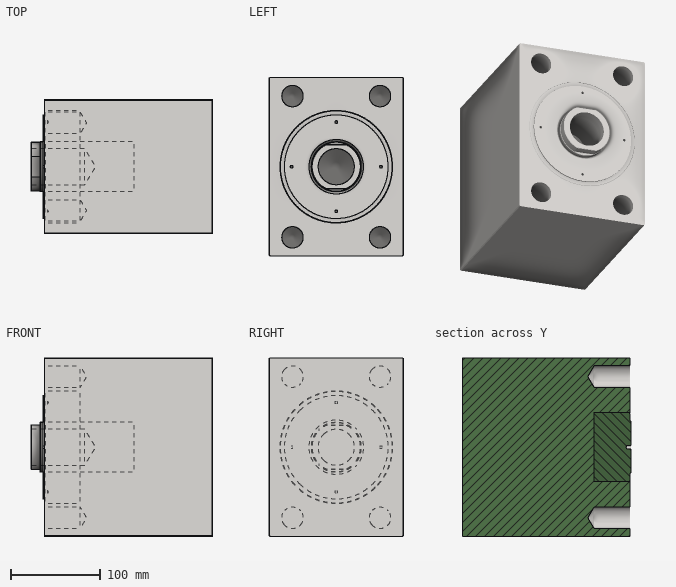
import cadquery as cq
import math

block_length = 188.0
block_width = 150.0
block_height = 200.0
edge_chamfer = 1.0

mount_diameter = 24.0
mount_depth = 40.0
mount_spacing_y = 98.0
mount_spacing_z = 158.0
drill_point_angle = 118.0

gland_diameter = 126.0
gland_depth = 40.0
gland_rim_chamfer = 0.5
disc_diameter = 116.0
disc_height = 1.5
wiper_mouth_diameter = 61.0
wiper_depth = 2.5
spanner_hole_diameter = 3.0
spanner_hole_depth = 5.0
spanner_circle_radius = 50.0
spanner_hole_count = 4

rod_diameter = 56.0
rod_projection = 15.0
rod_inner_length = 100.0
rod_shoulder_chamfer = 0.5
nose_diameter = 55.0
nose_length = 10.0
nose_chamfer = 0.5
flat_spacing = 50.0
rod_bore_diameter = 40.5
rod_bore_depth = 60.0


def cylinder_x(diameter, x_start, x_end):
    """Cylinder on the X axis between two X positions."""
    face = cq.Workplane("YZ").workplane(offset=x_start)
    return face.circle(diameter / 2).extrude(x_end - x_start)


def drilled_hole(diameter, x_start, depth):
    """Cutter for a blind hole along +X with a conical bottom."""
    radius = diameter / 2
    point_length = radius / math.tan(math.radians(drill_point_angle / 2))
    profile = (
        cq.Workplane("XY")
        .moveTo(x_start, 0)
        .lineTo(x_start, radius)
        .lineTo(x_start + depth, radius)
        .lineTo(x_start + depth + point_length, 0)
        .close()
    )
    return profile.revolve(360, (0, 0, 0), (1, 0, 0))


def make_block():
    block = cq.Workplane("XY").box(block_length, block_width, block_height, centered=(False, True, True))
    block = block.edges("|X").chamfer(edge_chamfer)
    block = block.cut(cylinder_x(gland_diameter, 0, gland_depth))
    block = block.cut(cylinder_x(rod_diameter, gland_depth, rod_inner_length))
    mount_hole = drilled_hole(mount_diameter, 0, mount_depth)
    for side_y in (-1, 1):
        for side_z in (-1, 1):
            position = (0, side_y * mount_spacing_y / 2, side_z * mount_spacing_z / 2)
            block = block.cut(mount_hole.translate(position))
    return block


def make_gland():
    gland = cylinder_x(gland_diameter, 0, gland_depth).faces("<X").chamfer(gland_rim_chamfer)
    gland = gland.union(cylinder_x(disc_diameter, -disc_height, gland_depth))
    gland = gland.cut(cylinder_x(rod_diameter, -disc_height, gland_depth))
    mouth = (
        cq.Workplane("XY")
        .moveTo(-disc_height, 0)
        .lineTo(-disc_height, wiper_mouth_diameter / 2)
        .lineTo(wiper_depth - disc_height, rod_diameter / 2)
        .lineTo(wiper_depth - disc_height, 0)
        .close()
        .revolve(360, (0, 0, 0), (1, 0, 0))
    )
    gland = gland.cut(mouth)
    spanner_hole = drilled_hole(spanner_hole_diameter, -disc_height, spanner_hole_depth)
    spanner_hole = spanner_hole.translate((0, 0, spanner_circle_radius))
    for index in range(spanner_hole_count):
        angle = index * 360 / spanner_hole_count
        gland = gland.cut(spanner_hole.rotate((0, 0, 0), (1, 0, 0), angle))
    return gland


def make_rod():
    shoulder_x = nose_length - rod_projection
    nose = cylinder_x(nose_diameter, -rod_projection, shoulder_x)
    between_flats = cq.Workplane("XY").box(2 * rod_projection, rod_diameter, flat_spacing)
    nose = nose.intersect(between_flats.translate((-rod_projection, 0, 0)))
    nose = nose.faces("<X").chamfer(nose_chamfer)
    bar = cylinder_x(rod_diameter, shoulder_x, rod_inner_length).faces("<X").chamfer(rod_shoulder_chamfer)
    return bar.union(nose).cut(drilled_hole(rod_bore_diameter, -rod_projection, rod_bore_depth))


block = make_block()
gland = make_gland()
rod = make_rod()

result = cq.Compound.makeCompound([block.val(), gland.val(), rod.val()])